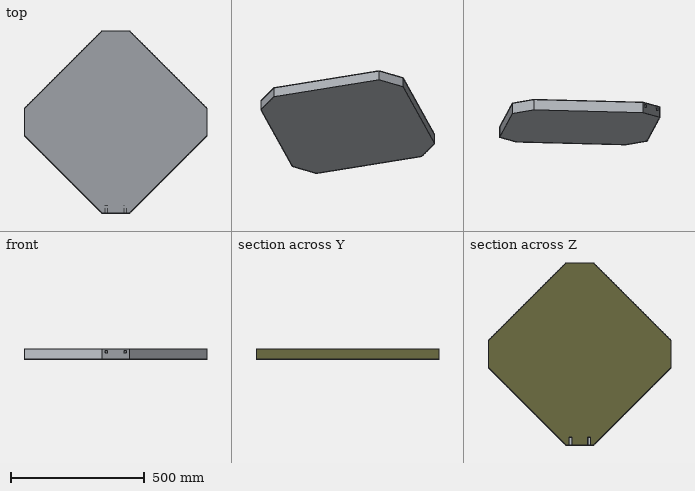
import cadquery as cq

width = 682.0
thickness = 40.0
flat_length = 102.0
hole_diameter = 10.0
hole_depth = 30.0
hole_spacing = 70.0
hole_drop = 11.5

corner_cut = (width - flat_length) / 2


def make_plate():
    """Square plate with large corner cuts, centred on the origin."""
    plate = cq.Workplane("XY").box(width, width, thickness)
    return plate.edges("|Z").chamfer(corner_cut)


def make_edge_holes():
    """Pair of blind holes running inward (+Y) from the -Y side."""
    hole_z = thickness / 2 - hole_drop
    return (
        cq.Workplane("XZ", origin=(0, -width / 2, hole_z))
        .pushPoints([(-hole_spacing / 2, 0), (hole_spacing / 2, 0)])
        .circle(hole_diameter / 2)
        .extrude(-hole_depth)
    )


result = make_plate().cut(make_edge_holes())